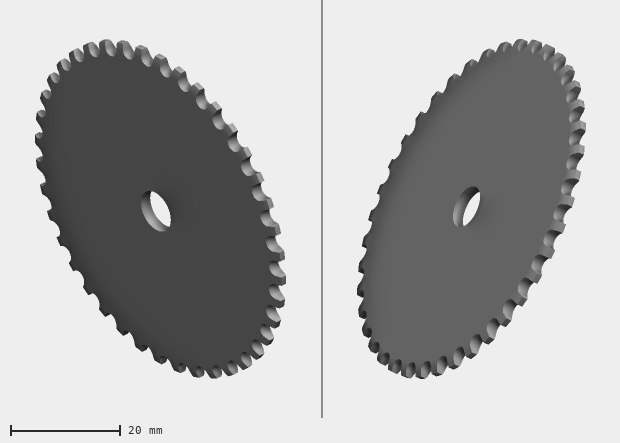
import cadquery as cq
import math

tip_diameter = 65.9
thickness = 2.3
bore_diameter = 8.0
tooth_count = 40
root_radius = 30.3
shoulder_radius = 30.6
tip_width = 1.1
seat_radius = 1.6
wall_radius = 13.2
tip_clearance = 0.65

tip_radius = tip_diameter / 2
bore_radius = bore_diameter / 2
pitch_angle = 360 / tooth_count
half_pitch = math.radians(pitch_angle / 2)
seat_center_radius = root_radius + seat_radius

flank_height = tip_radius - shoulder_radius
flank_drop = (thickness - tip_width) / 2
flank_radius = (flank_height**2 + flank_drop**2) / (2 * flank_drop)

seat_end_height = seat_center_radius * math.cos(half_pitch)
seat_end_half_tooth = seat_center_radius * math.sin(half_pitch) - seat_radius
wall_length = tip_radius + tip_clearance - seat_end_height


def flank_midpoint(side):
    """Middle of the flank arc as (radial, axial); side is +1 or -1 along the disc axis."""
    half_sweep = math.asin(flank_height / flank_radius) / 2
    radial = shoulder_radius + flank_radius * math.sin(half_sweep)
    axial = thickness / 2 - flank_radius * (1 - math.cos(half_sweep))
    return radial, side * axial


def make_blank():
    """Bored disc with rounded flanks at the rim, revolved about the Y axis."""
    half_section = (
        cq.Workplane("XY")
        .moveTo(bore_radius, -thickness / 2)
        .lineTo(shoulder_radius, -thickness / 2)
        .threePointArc(flank_midpoint(-1), (tip_radius, -tip_width / 2))
        .lineTo(tip_radius, tip_width / 2)
        .threePointArc(flank_midpoint(1), (shoulder_radius, thickness / 2))
        .lineTo(bore_radius, thickness / 2)
        .close()
    )
    return half_section.revolve(360, (0, 0, 0), (0, 1, 0))


def wall_point(distance, side):
    """Point of the convex tooth wall at a distance past the seat, in a gap lying along X."""
    inset = wall_radius - math.sqrt(wall_radius**2 - distance**2)
    height = seat_end_height + distance
    half_tooth = seat_end_half_tooth - inset
    along_gap = height * math.cos(half_pitch) + half_tooth * math.sin(half_pitch)
    across_gap = height * math.sin(half_pitch) - half_tooth * math.cos(half_pitch)
    return along_gap, side * across_gap


def make_gap(angle):
    """Cutter for one tooth gap: a round seat between two walls that narrow the teeth to the tip."""
    cutter = (
        cq.Workplane("XZ")
        .moveTo(*wall_point(wall_length, 1))
        .threePointArc(wall_point(wall_length / 2, 1), wall_point(0, 1))
        .threePointArc((root_radius, 0), wall_point(0, -1))
        .threePointArc(wall_point(wall_length / 2, -1), wall_point(wall_length, -1))
        .close()
        .extrude(thickness, both=True)
    )
    return cutter.rotate((0, 0, 0), (0, 1, 0), angle)


gaps = cq.Workplane("XZ")
for index in range(tooth_count):
    gaps.add(make_gap((index + 0.5) * pitch_angle))

result = make_blank().cut(gaps)